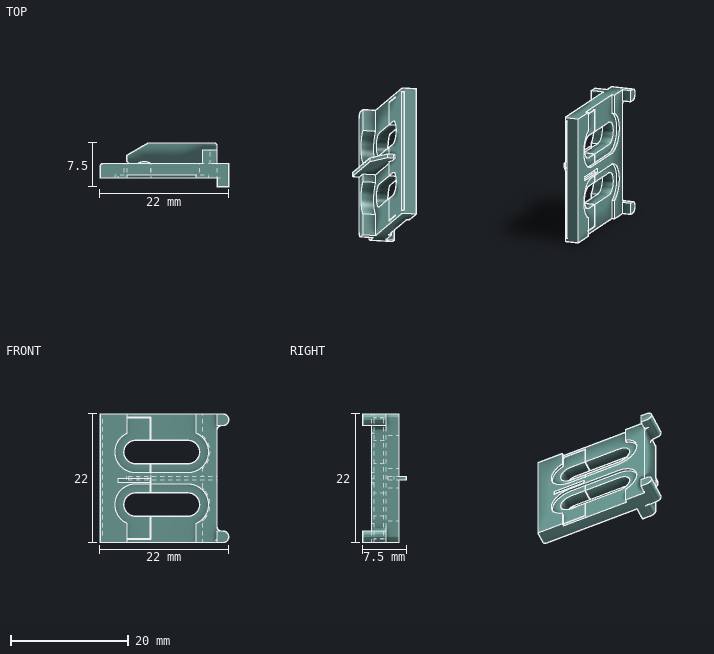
import cadquery as cq

plate_length = 20.0
plate_height = 22.0
plate_thickness = 2.5
mid_z = plate_height / 2
edge_break = 0.45

hook_reach = 2.0
hook_height = 2.0
hook_drop = 1.5
hook_fillet = 0.75

slot_half_height = 1.98
slot_left_center = 6.05
slot_right_center = 15.0
slot_offset_z = 4.49
slot_centers = (mid_z - slot_offset_z, mid_z + slot_offset_z)
recess_radius = 3.52
recess_depth = 0.48
recess_left = 4.6
recess_right = 16.4

panel_right = 8.7
panel_margin = 0.6
gap_width = 0.09

window_left = 3.01
window_bottom = 10.32
window_height = 0.65

wall_left = 17.47
wall_depth = 2.25
wall_corner_radius = 1.0
clearance_radius = 3.75
rib_left = 4.5
rib_depth = 3.5
rib_width = 0.65
rib_nose_depth = 1.36
rib_slope_end = 8.2
rib_nose_chamfer = 0.35
rib_corner_radius = 0.5
relief_left = 6.51
relief_right = 8.58
relief_height = 0.26


def block(x0, x1, y0, y1, z0, z1):
    """Box between two opposite corners."""
    return cq.Workplane("XY").box(x1 - x0, y1 - y0, z1 - z0, centered=False).translate((x0, y0, z0))


def cylinder_y(x, z, radius, y0, y1):
    """Cylinder along Y."""
    return cq.Workplane("XZ", origin=(x, y0, z)).circle(radius).extrude(y0 - y1)


def elongated(center_z, radius, y0, y1):
    """Round-ended prism spanning the two opening centers."""
    bar = block(slot_left_center, slot_right_center, y0, y1, center_z - radius, center_z + radius)
    for x in (slot_left_center, slot_right_center):
        bar = bar.union(cylinder_y(x, center_z, radius, y0, y1))
    return bar


def make_plate():
    """Base plate with its rear left edge broken."""
    plate = block(0, plate_length, 0, plate_thickness, 0, plate_height)
    plate = plate.edges("<X and >Y").fillet(edge_break)
    step = block(0, edge_break, plate_thickness - edge_break, plate_thickness,
                 panel_margin, plate_height - panel_margin)
    return plate.cut(step)


def make_hook(z0):
    """Latch hook with a half-round tip."""
    tip_radius = hook_height / 2
    tip_center = plate_length + hook_reach - tip_radius
    hook = block(plate_length, tip_center, -hook_drop, plate_thickness, z0, z0 + hook_height)
    return hook.union(cylinder_y(tip_center, z0 + tip_radius, tip_radius, -hook_drop, plate_thickness))


def make_hook_root(inner_z, inward):
    """Concave fillet between the plate edge and a hook; inward is the Z sense toward mid height."""
    z_limits = sorted((inner_z, inner_z + inward * hook_fillet))
    corner = block(plate_length, plate_length + hook_fillet, 0, plate_thickness, *z_limits)
    round_cut = cylinder_y(plate_length + hook_fillet, inner_z + inward * hook_fillet,
                           hook_fillet, 0, plate_thickness)
    return corner.cut(round_cut)


def make_wall():
    """Wall behind the +X edge, scalloped around each opening."""
    rear = plate_thickness + wall_depth
    wall = block(wall_left, plate_length, plate_thickness, rear, 0, plate_height)
    wall = wall.edges("|Y and >X").fillet(wall_corner_radius)
    for z in slot_centers:
        wall = wall.cut(cylinder_y(slot_right_center, z, clearance_radius, plate_thickness, rear))
    return wall


def make_rib():
    """Sloped rib at mid height with an arched relief in its underside."""
    base = plate_thickness
    top = base + rib_depth
    relief_mid = (relief_left + relief_right) / 2
    rib = (
        cq.Workplane("XY")
        .moveTo(rib_left + rib_nose_chamfer, base)
        .lineTo(relief_left, base)
        .threePointArc((relief_mid, base + relief_height), (relief_right, base))
        .lineTo(plate_length, base)
        .lineTo(plate_length, top)
        .lineTo(rib_slope_end, top)
        .lineTo(rib_left, base + rib_nose_depth)
        .lineTo(rib_left, base + rib_nose_chamfer)
        .close()
        .extrude(rib_width)
        .translate((0, 0, mid_z - rib_width / 2))
    )
    return rib.edges("|Z and >X and >Y").fillet(rib_corner_radius)


def make_recess(center_z, z0, z1):
    """Shallow front recess around an opening, running out to the plate edge between z0 and z1."""
    channel = block(recess_left, recess_right, 0, recess_depth, z0, z1)
    return channel.union(elongated(center_z, recess_radius, 0, recess_depth))


def make_panel_gap():
    """Narrow gap along the top, bottom and right sides of the panel, behind the front skin."""
    z0 = panel_margin
    z1 = plate_height - panel_margin
    outer = block(recess_left, panel_right, recess_depth, plate_thickness, z0, z1)
    inner = block(recess_left, panel_right - gap_width, recess_depth, plate_thickness,
                  z0 + gap_width, z1 - gap_width)
    return outer.cut(inner)


lower_slot_z, upper_slot_z = slot_centers
window = block(window_left, panel_right, 0, recess_depth, window_bottom, window_bottom + window_height)

result = make_plate().cut(make_panel_gap()).cut(window)
result = result.cut(make_recess(lower_slot_z, 0, lower_slot_z))
result = result.cut(make_recess(upper_slot_z, upper_slot_z, plate_height))
for slot_z in slot_centers:
    result = result.cut(elongated(slot_z, slot_half_height, 0, plate_thickness))

result = result.union(make_wall()).union(make_rib())
for hook_z in (0, plate_height - hook_height):
    result = result.union(make_hook(hook_z))
result = result.union(make_hook_root(hook_height, 1))
result = result.union(make_hook_root(plate_height - hook_height, -1))